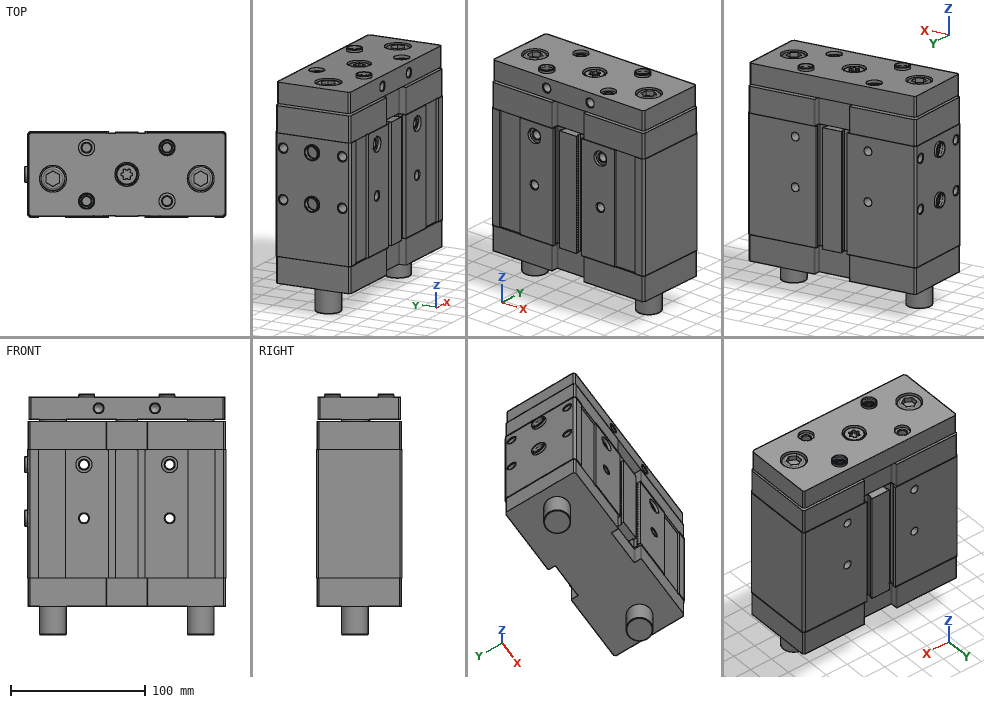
import cadquery as cq
import math

overall_height = 179.3
rod_overhang = 21.2
cap_height = 21.0
body_height = 95.7
plate_height = 16.5
sleeve_protrusion = 2.3

cap_bottom_z = rod_overhang
body_bottom_z = cap_bottom_z + cap_height
body_top_z = body_bottom_z + body_height
cap_top_z = body_top_z + cap_height
plate_top_z = overall_height - sleeve_protrusion
plate_bottom_z = plate_top_z - plate_height

body_x, body_y, body_chamfer = 148.0, 64.0, 1.8
cap_x, cap_y, cap_chamfer = 147.0, 63.0, 1.5
plate_x, plate_y, plate_chamfer = 146.0, 61.7, 1.5

groove_half_width = 13.6
groove_depth = 6.5
rib_half_width = 8.2
rib_setback = 0.5
lip_depth = 3.0
lip_undercut = 0.7
cap_groove_half_width = 15.2
cap_groove_depth = 6.3
cap_groove_round = 0.5
panel_inner_x, panel_outer_x, panel_depth = 45.7, 65.6, 2.0

guide_rod_diameter = 20.0
guide_rod_x, guide_rod_y = 55.0, -3.2
rod_end_chamfer = 0.5
piston_rod_diameter = 16.0
guide_screw_bore = 20.0
guide_screw_head = 18.0
guide_screw_round = 1.6
guide_screw_recess = 0.45
hex_across_flats = 10.0
hex_depth = 4.0
piston_screw_bore = 18.0
piston_screw_head = 16.0
piston_screw_chamfer = 0.7
piston_screw_recess = 0.9
star_diameter = 8.8
star_core_diameter = 6.3
star_lobe_radius = 1.0
star_depth = 2.7
star_lobes = 6
screw_head_height = 12.0

thread_diameter = 6.8
thread_mouth_diameter = 8.0
thread_depth = 14.3
countersink_angle = 90
drill_point_angle = 118
sleeve_diameter = 12.0
sleeve_bore = 10.2
sleeve_chamfer = 0.5
sleeve_seat_depth = 2.3
plate_hole_x, plate_hole_y = 30.0, 19.9
plate_side_hole_x = 21.0
body_hole_x = 32.0
side_hole_y = 25.0
upper_hole_z, lower_hole_z = 126.8, 86.8

UP, DOWN = cq.Vector(0, 0, 1), cq.Vector(0, 0, -1)
INTO_LEFT, INTO_FRONT = cq.Vector(1, 0, 0), cq.Vector(0, 1, 0)


def chamfered_block(size_x, size_y, chamfer, bottom_z, top_z):
    block = cq.Workplane("XY").workplane(offset=bottom_z).rect(size_x, size_y).extrude(top_z - bottom_z)
    return block.edges("|Z").chamfer(chamfer)


def cylinder(diameter, start, direction, length):
    return cq.Workplane(cq.Solid.makeCylinder(diameter / 2, length, start, direction))


def on_both_faces(front_cutter):
    """The cutter together with its mirror image on the back face."""
    return front_cutter.union(front_cutter.mirror("XZ"))


def thread_mouth(start, direction):
    half_angle = math.radians(countersink_angle / 2)
    depth = (thread_mouth_diameter - thread_diameter) / 2 / math.tan(half_angle)
    return cq.Workplane(
        cq.Solid.makeCone(thread_mouth_diameter / 2, thread_diameter / 2, depth, start, direction)
    )


def through_thread(start, direction, length):
    return cylinder(thread_diameter, start, direction, length).union(thread_mouth(start, direction))


def blind_thread(start, direction):
    """Countersunk blind hole with a drill-point bottom."""
    point_depth = thread_diameter / 2 / math.tan(math.radians(drill_point_angle / 2))
    point_start = start + direction * thread_depth
    point = cq.Solid.makeCone(thread_diameter / 2, 0, point_depth, point_start, direction)
    return through_thread(start, direction, thread_depth).union(cq.Workplane(point))


def sleeve_seat(start, direction):
    return cylinder(sleeve_diameter, start, direction, sleeve_seat_depth)


def body_grooves():
    """Central groove with a rib standing in it; both sides are undercut behind a lip."""
    outer_y = -body_y / 2
    floor_y = outer_y + groove_depth
    lip_y = outer_y + lip_depth
    rib_y = outer_y + rib_setback
    right_slot = [
        (0, outer_y),
        (0, rib_y),
        (rib_half_width, rib_y),
        (rib_half_width, lip_y),
        (rib_half_width - lip_undercut, lip_y),
        (rib_half_width - lip_undercut, floor_y),
        (groove_half_width + lip_undercut, floor_y),
        (groove_half_width + lip_undercut, lip_y),
        (groove_half_width, lip_y),
        (groove_half_width, outer_y),
    ]
    bottom = cq.Workplane("XY").workplane(offset=body_bottom_z)
    right = bottom.polyline(right_slot).close().extrude(body_height)
    return on_both_faces(right.union(right.mirror("YZ")))


def front_panels():
    """Shallow full-height recesses in the front face, in line with the guide rods."""
    width = panel_outer_x - panel_inner_x
    centre_x = (panel_outer_x + panel_inner_x) / 2
    return (
        cq.Workplane("XY")
        .workplane(offset=body_bottom_z)
        .pushPoints([(-centre_x, -body_y / 2), (centre_x, -body_y / 2)])
        .rect(width, 2 * panel_depth)
        .extrude(body_height)
    )


def make_body():
    body = chamfered_block(body_x, body_y, body_chamfer, body_bottom_z, body_top_z)
    body = body.cut(body_grooves()).cut(front_panels())
    for x in (-body_hole_x, body_hole_x):
        upper_mouth = cq.Vector(x, -body_y / 2, upper_hole_z)
        upper_seat = upper_mouth + INTO_FRONT * sleeve_seat_depth
        lower_mouth = cq.Vector(x, -body_y / 2, lower_hole_z)
        body = body.cut(sleeve_seat(upper_mouth, INTO_FRONT))
        body = body.cut(through_thread(upper_seat, INTO_FRONT, body_y))
        body = body.cut(through_thread(lower_mouth, INTO_FRONT, body_y))
    for z in (upper_hole_z, lower_hole_z):
        body = body.cut(sleeve_seat(cq.Vector(-body_x / 2, 0, z), INTO_LEFT))
        for y in (-side_hole_y, side_hole_y):
            body = body.cut(blind_thread(cq.Vector(-body_x / 2, y, z), INTO_LEFT))
    return body.cut(guide_rods())


def make_cap(bottom_z):
    cap = chamfered_block(cap_x, cap_y, cap_chamfer, bottom_z, bottom_z + cap_height)
    groove = (
        cq.Workplane("XY")
        .workplane(offset=bottom_z)
        .pushPoints([(0, -cap_y / 2), (0, cap_y / 2)])
        .rect(2 * cap_groove_half_width, 2 * cap_groove_depth)
        .extrude(cap_height)
    )
    cap = cap.cut(groove)
    middle = cq.selectors.BoxSelector(
        (-cap_x / 4, -cap_y, bottom_z), (cap_x / 4, cap_y, bottom_z + cap_height)
    )
    cap = cap.edges("|Z").edges(middle).fillet(cap_groove_round)
    return cap.cut(guide_rods())


def guide_rods():
    rods = (
        cq.Workplane("XY")
        .pushPoints([(-guide_rod_x, guide_rod_y), (guide_rod_x, guide_rod_y)])
        .circle(guide_rod_diameter / 2)
        .extrude(plate_bottom_z)
    )
    return rods.faces("<Z").edges().chamfer(rod_end_chamfer)


def piston_rod():
    return cylinder(piston_rod_diameter, cq.Vector(0, 0, body_top_z), UP, plate_bottom_z - body_top_z)


def screw_head(diameter, recess):
    bottom = cq.Vector(0, 0, plate_top_z - recess - screw_head_height)
    return cylinder(diameter, bottom, UP, screw_head_height)


def guide_screw():
    head = screw_head(guide_screw_head, guide_screw_recess)
    return head.faces(">Z").edges().fillet(guide_screw_round)


def piston_screw():
    head = screw_head(piston_screw_head, piston_screw_recess)
    return head.faces(">Z").edges().chamfer(piston_screw_chamfer)


def screw_bore(x, y, diameter, recess):
    return cylinder(diameter, cq.Vector(x, y, plate_top_z), DOWN, recess + screw_head_height)


def hex_socket(x, y):
    top = cq.Workplane("XY", origin=(x, y, plate_top_z - guide_screw_recess))
    return top.polygon(6, hex_across_flats, circumscribed=True).extrude(-hex_depth)


def star_socket():
    """Six rounded lobes around a round core."""
    top = cq.Workplane("XY", origin=(0, 0, plate_top_z - piston_screw_recess))
    lobes = (
        top.polarArray(star_diameter / 2 - star_lobe_radius, 0, 360, star_lobes)
        .circle(star_lobe_radius)
        .extrude(-star_depth)
    )
    return top.circle(star_core_diameter / 2).extrude(-star_depth).union(lobes)


def make_moving_unit():
    unit = chamfered_block(plate_x, plate_y, plate_chamfer, plate_bottom_z, plate_top_z)
    for x in (-plate_hole_x, plate_hole_x):
        for y in (-plate_hole_y, plate_hole_y):
            mouth = cq.Vector(x, y, plate_top_z)
            unit = unit.cut(sleeve_seat(mouth, DOWN))
            unit = unit.cut(through_thread(mouth + DOWN * sleeve_seat_depth, DOWN, plate_height))
    plate_middle_z = (plate_bottom_z + plate_top_z) / 2
    for x in (-plate_side_hole_x, plate_side_hole_x):
        unit = unit.cut(blind_thread(cq.Vector(x, -plate_y / 2, plate_middle_z), INTO_FRONT))
    head = guide_screw()
    for x in (-guide_rod_x, guide_rod_x):
        unit = unit.cut(screw_bore(x, guide_rod_y, guide_screw_bore, guide_screw_recess))
        unit = unit.union(head.translate((x, guide_rod_y, 0)))
        unit = unit.cut(hex_socket(x, guide_rod_y))
    unit = unit.cut(screw_bore(0, 0, piston_screw_bore, piston_screw_recess))
    unit = unit.union(piston_screw())
    unit = unit.cut(star_socket())
    return unit.union(guide_rods()).union(piston_rod())


def make_sleeve(mouth, direction):
    """Ring sunk into the seat at `mouth`, standing proud against `direction`."""
    length = sleeve_protrusion + sleeve_seat_depth
    ring = cq.Workplane("XY").circle(sleeve_diameter / 2).circle(sleeve_bore / 2).extrude(length)
    ring = ring.faces("<Z or >Z").edges(cq.selectors.RadiusNthSelector(-1)).chamfer(sleeve_chamfer)
    plane = cq.Plane(origin=(mouth - direction * sleeve_protrusion).toTuple(), normal=direction.toTuple())
    return ring.val().located(cq.Location(plane))


body = make_body()
lower_cap = make_cap(cap_bottom_z)
upper_cap = make_cap(body_top_z).cut(piston_rod())
moving_unit = make_moving_unit()
plate_sleeves = [
    make_sleeve(cq.Vector(side * plate_hole_x, side * plate_hole_y, plate_top_z), DOWN) for side in (-1, 1)
]
body_sleeves = [
    make_sleeve(cq.Vector(-body_x / 2, 0, z), INTO_LEFT) for z in (upper_hole_z, lower_hole_z)
]

result = cq.Compound.makeCompound(
    [body.val(), lower_cap.val(), upper_cap.val(), moving_unit.val(), *plate_sleeves, *body_sleeves]
)